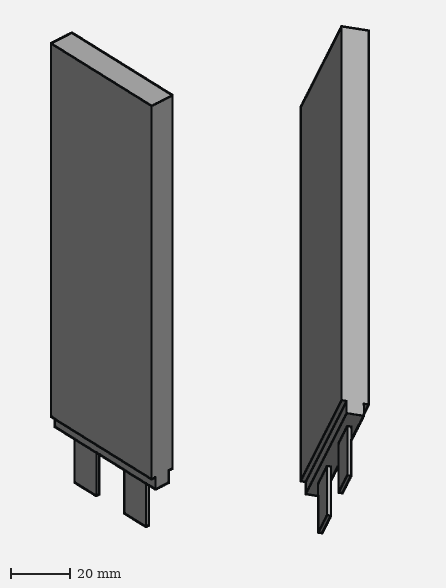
import cadquery as cq

total_height = 177.8
width = 50.9
body_thickness = 9.6

strip_height = 5.0
strip_thickness = 6.0

tab_length = 20.1
tab_width = 11.0
tab_thickness = 1.5
tab_spacing = 25.0

strip_top = tab_length + strip_height
body_height = total_height - strip_top


def centered_block(x_size, y_size, z_size, bottom, x_center=0):
    """Block centred in Y, standing on the height `bottom`."""
    block = cq.Workplane("XY").box(x_size, y_size, z_size, centered=(True, True, False))
    return block.translate((x_center, 0, bottom))


body = centered_block(width, body_thickness, body_height, strip_top)
strip = centered_block(width, strip_thickness, strip_height, tab_length)

result = body.union(strip)
for side in (-1, 1):
    tab = centered_block(tab_width, tab_thickness, tab_length, 0, side * tab_spacing / 2)
    result = result.union(tab)